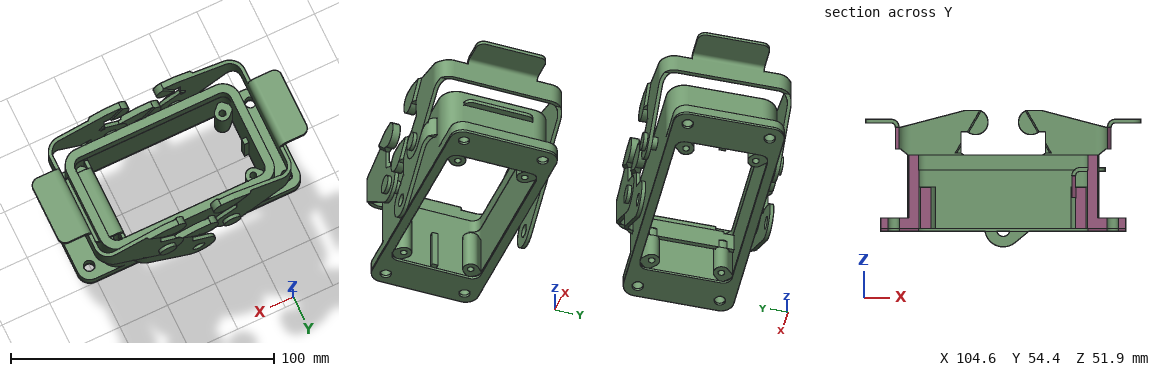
import cadquery as cq
import math

FLANGE_LENGTH = 93.1
FLANGE_WIDTH = 43.1
FLANGE_TOP = 5.1
FLANGE_CORNER = 5.0
HOUSING_LENGTH = 72.6
HOUSING_TOP = 29.0
HOUSING_CORNER = 7.0
WALL = 3.6
LEDGE_Z = 23.3
LEDGE_WIDTH = 0.1
SCREW_HOLE = 4.3
SCREW_X = 41.5
SCREW_Y = 16.0

BOSS_TOP = 16.7
BOSS_RADIUS = 3.0
BOSS_HOLE = 2.5
BOSS_X = 28.7
BOSS_Y = 13.6
BOSS_REACH = 4.2
KEY_LENGTH = 1.9
KEY_WIDTH = 2.4

GASKET_THICKNESS = 1.0

PIVOT_X = 13.5
PIVOT_Z = 18.9
PIN_DIAMETER = 4.9
PIN_HEAD = 7.0
PIN_HEAD_FACE = 27.2

SHEET = 1.5
LEVER_HALF_WIDTH = 25.7
LEVER_BEND = 6.0
EAR_RADIUS = 7.0
EAR_RISE = 0.5
BAR_X = 27.5
BAR_BOTTOM = 12.2
BAR_TOP = 20.6
BAR_FLAT = 2.1
HOOK_TOP = 27.0
CREST_X = 1.0
CREST_END_X = -4.6
TIP_X = -7.7
TIP_Z = 22.4
TIP_ROOT_X = 0.1
NOTCH_X = 2.5
NOTCH_BOTTOM = 10.8
NOTCH_TOP = 18.8
HOOK_STEP = 1.0
TIP_STEP = 0.5
TAB_END = 38.8
TAB_WIDTH = 28.0
TAB_CORNER = 3.0
TAB_BEND = 1.6

LOWER_PIVOT_Z = 0.5

CAVITY_LENGTH = HOUSING_LENGTH - 2 * WALL
CAVITY_WIDTH = FLANGE_WIDTH - 2 * WALL
CAVITY_CORNER = HOUSING_CORNER - WALL


def rounded_block(length, width, corner, bottom, top):
    block = cq.Workplane("XY").workplane(offset=bottom).rect(length, width).extrude(top - bottom)
    return block.edges("|Z").fillet(corner)


def corner_points(x, y):
    return [(-x, -y), (x, -y), (x, y), (-x, y)]


def screw_holes(bottom, top):
    points = corner_points(SCREW_X, SCREW_Y)
    plane = cq.Workplane("XY").workplane(offset=bottom)
    return plane.pushPoints(points).circle(SCREW_HOLE / 2).extrude(top - bottom)


def cavity(bottom, top, width):
    return rounded_block(CAVITY_LENGTH, width, CAVITY_CORNER, bottom, top)


def make_boss(x, y):
    """Round boss joined to its cavity corner by a diagonal web."""
    height = BOSS_TOP - GASKET_THICKNESS
    angle = math.degrees(math.atan2(math.copysign(1, y), math.copysign(1, x)))
    base = cq.Workplane("XY").workplane(offset=GASKET_THICKNESS).center(x, y)
    boss = base.circle(BOSS_RADIUS).extrude(height)
    web = base.transformed(rotate=(0, 0, angle)).center(BOSS_REACH / 2, 0)
    boss = boss.union(web.rect(BOSS_REACH, 2 * BOSS_RADIUS).extrude(height))
    return boss.cut(base.circle(BOSS_HOLE / 2).extrude(height))


def make_key():
    height = BOSS_TOP - GASKET_THICKNESS
    key_x = -CAVITY_LENGTH / 2 + KEY_LENGTH / 2
    key = cq.Workplane("XY").workplane(offset=GASKET_THICKNESS).center(key_x, 0)
    return key.rect(KEY_LENGTH, KEY_WIDTH).extrude(height)


def cylinder_along_y(x, z, diameter, start, end):
    """Cylinder parallel to Y between the two Y positions."""
    plane = cq.Plane(origin=(x, start, z), xDir=(1, 0, 0), normal=(0, 1, 0))
    return cq.Workplane(plane).circle(diameter / 2).extrude(end - start)


def make_pin(x, side):
    """Pin through the lever's side plate, with a head on the plate's outer face."""
    wall_face = side * FLANGE_WIDTH / 2
    outer_face = side * LEVER_HALF_WIDTH
    pin = cylinder_along_y(x, PIVOT_Z, PIN_DIAMETER, wall_face, outer_face)
    return pin.union(cylinder_along_y(x, PIVOT_Z, PIN_HEAD, outer_face, side * PIN_HEAD_FACE))


def make_housing():
    body = rounded_block(FLANGE_LENGTH, FLANGE_WIDTH, FLANGE_CORNER, GASKET_THICKNESS, FLANGE_TOP)
    body = body.cut(screw_holes(GASKET_THICKNESS, FLANGE_TOP))
    body = body.union(
        rounded_block(HOUSING_LENGTH, FLANGE_WIDTH, HOUSING_CORNER, GASKET_THICKNESS, HOUSING_TOP)
    )
    body = body.cut(cavity(GASKET_THICKNESS, LEDGE_Z, CAVITY_WIDTH - 2 * LEDGE_WIDTH))
    body = body.cut(cavity(LEDGE_Z, HOUSING_TOP, CAVITY_WIDTH))
    for x, y in corner_points(BOSS_X, BOSS_Y):
        body = body.union(make_boss(x, y))
    body = body.union(make_key())
    for x in (-PIVOT_X, PIVOT_X):
        for side in (-1, 1):
            body = body.union(make_pin(x, side))
    return body


def make_gasket():
    gasket = rounded_block(FLANGE_LENGTH, FLANGE_WIDTH, FLANGE_CORNER, 0, GASKET_THICKNESS)
    gasket = gasket.cut(screw_holes(0, GASKET_THICKNESS))
    return gasket.cut(cavity(0, GASKET_THICKNESS, CAVITY_WIDTH))


def ear_tangent(x, z, turn):
    """Point where the line from (x, z) touches the ear; turn is +1 or -1 for its two sides."""
    distance = math.hypot(x, z - EAR_RISE)
    angle = math.atan2(z - EAR_RISE, x) + turn * math.acos(EAR_RADIUS / distance)
    return (EAR_RADIUS * math.cos(angle), EAR_RISE + EAR_RADIUS * math.sin(angle))


def lever_profile():
    """Side outline of the lever, as a block across its whole width."""
    flat_x = BAR_X - BAR_FLAT
    outline = (
        cq.Workplane("XZ", origin=(0, PIN_HEAD_FACE, 0))
        .moveTo(*ear_tangent(flat_x, BAR_BOTTOM, -1))
        .lineTo(flat_x, BAR_BOTTOM)
        .lineTo(BAR_X, BAR_BOTTOM)
        .lineTo(BAR_X, BAR_TOP)
        .lineTo(flat_x, BAR_TOP)
        .lineTo(CREST_X, HOOK_TOP)
        .lineTo(CREST_END_X, HOOK_TOP)
        .threePointArc((TIP_X, TIP_Z), (TIP_ROOT_X, NOTCH_TOP))
        .lineTo(NOTCH_X, NOTCH_TOP)
        .lineTo(NOTCH_X, NOTCH_BOTTOM)
        .lineTo(*ear_tangent(NOTCH_X, NOTCH_BOTTOM, 1))
        .threePointArc((0, EAR_RISE - EAR_RADIUS), ear_tangent(flat_x, BAR_BOTTOM, -1))
        .close()
    )
    return outline.extrude(2 * PIN_HEAD_FACE)


def lever_bail():
    """Sheet bent to a U in plan: two side plates and the end bar."""
    plan_start = 2 * TIP_X
    length = BAR_X - plan_start
    center = (plan_start + BAR_X) / 2

    def plan(inset):
        block = cq.Workplane("XY", origin=(center - inset, 0, EAR_RISE - EAR_RADIUS))
        block = block.rect(length, 2 * (LEVER_HALF_WIDTH - inset)).extrude(HOOK_TOP + 2 * EAR_RADIUS)
        return block.edges("|Z and >X").fillet(LEVER_BEND - inset)

    return plan(0).cut(plan(SHEET))


def slope_edged_pad(start, end, face, step, side):
    """Pad raised by step from a side-plate face, on the left of the line from start to end.

    Its edge along that line slopes at 45 degrees; the other edges lie beyond the lever outline.
    """
    reach = HOOK_TOP
    along = cq.Vector(end[0] - start[0], 0, end[1] - start[1]).normalized()
    across = cq.Vector(-along.z, 0, along.x)
    corner = cq.Vector(start[0], 0, start[1]) - along * reach
    plane = cq.Plane(origin=corner, xDir=across, normal=along)
    section = [(0, face), (abs(step), face + step), (reach, face + step), (reach, face)]
    section = [(u, -side * y) for u, y in section]
    return cq.Workplane(plane).polyline(section).close().extrude(2 * reach)


def hook_pad(side):
    """Thickening outwards beyond a 45 degree line through the corner of the notch."""
    start = (NOTCH_X, NOTCH_TOP)
    end = (NOTCH_X + 1, NOTCH_TOP + 1)
    return slope_edged_pad(start, end, LEVER_HALF_WIDTH, HOOK_STEP, side)


def tip_pad(side):
    """Thickening inwards beyond the chord of the rounded hook tip."""
    start = (CREST_END_X, HOOK_TOP)
    end = (TIP_ROOT_X, NOTCH_TOP)
    pad = slope_edged_pad(end, start, LEVER_HALF_WIDTH - SHEET, -TIP_STEP, side)
    hook_zone = cq.Workplane("XY", origin=(0, 0, NOTCH_BOTTOM))
    hook_zone = hook_zone.rect(4 * HOOK_TOP, 2 * PIN_HEAD_FACE).extrude(HOOK_TOP)
    return pad.intersect(hook_zone)


def lever_tab():
    """Thumb tab bent outwards from the top of the end bar."""
    bend_x = BAR_X + TAB_BEND
    bend_outer = TAB_BEND + SHEET
    diagonal = math.sqrt(0.5)
    tab = (
        cq.Workplane("XZ", origin=(0, TAB_WIDTH / 2, 0))
        .moveTo(BAR_X - SHEET, BAR_TOP)
        .lineTo(BAR_X, BAR_TOP)
        .threePointArc(
            (bend_x - TAB_BEND * diagonal, BAR_TOP + TAB_BEND * diagonal), (bend_x, BAR_TOP + TAB_BEND)
        )
        .lineTo(TAB_END, BAR_TOP + TAB_BEND)
        .lineTo(TAB_END, BAR_TOP + bend_outer)
        .lineTo(bend_x, BAR_TOP + bend_outer)
        .threePointArc(
            (bend_x - bend_outer * diagonal, BAR_TOP + bend_outer * diagonal), (BAR_X - SHEET, BAR_TOP)
        )
        .close()
        .extrude(TAB_WIDTH)
    )
    return tab.edges("|Z and >X").fillet(TAB_CORNER)


def lever_blank():
    """Lever without its pivot hole, pivot axis on Y and tab towards +X."""
    blank = lever_bail()
    for side in (-1, 1):
        blank = blank.union(hook_pad(side)).union(tip_pad(side))
    return blank.intersect(lever_profile()).union(lever_tab())


def drill_pivot(blank, x, z):
    return blank.cut(cylinder_along_y(x, z, PIN_DIAMETER, -PIN_HEAD_FACE, PIN_HEAD_FACE))


blank = lever_blank()
right_blank = blank.translate((PIVOT_X, 0, PIVOT_Z))
left_blank = right_blank.mirror("YZ")
lower_blank = blank.translate((0, 0, LOWER_PIVOT_Z)).cut(right_blank).cut(left_blank)

right_lever = drill_pivot(right_blank, PIVOT_X, PIVOT_Z)
left_lever = drill_pivot(left_blank, -PIVOT_X, PIVOT_Z)
lower_lever = drill_pivot(lower_blank, 0, LOWER_PIVOT_Z)
levers = [right_lever, left_lever, lower_lever]

housing = make_housing().cut(lower_lever)
gasket = make_gasket()

result = cq.Compound.makeCompound([housing.val(), gasket.val(), *[lever.val() for lever in levers]])